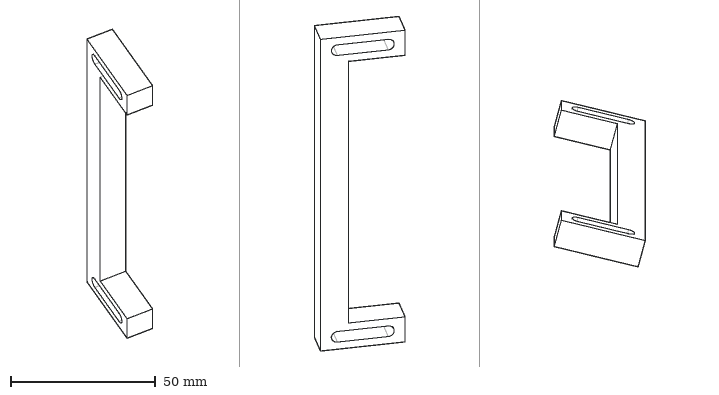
import cadquery as cq

length = 124.0
reach = 30.0
bar_size = 10.0
slot_travel = 18.0
slot_width = 4.2

slot_length = slot_travel + slot_width
half_length = length / 2
arm_inner_z = half_length - bar_size
slot_center_x = reach / 2
slot_center_z = half_length - bar_size / 2


def c_bracket():
    """Square-section upright with an arm at each end, centred in Y and Z, its back at X = 0."""
    outline = [
        (0, half_length),
        (reach, half_length),
        (reach, arm_inner_z),
        (bar_size, arm_inner_z),
        (bar_size, -arm_inner_z),
        (reach, -arm_inner_z),
        (reach, -half_length),
        (0, -half_length),
    ]
    return cq.Workplane("XZ").polyline(outline).close().extrude(bar_size / 2, both=True)


def arm_slots():
    """Round-ended slots running through both arms along Y."""
    centers = [(slot_center_x, side * slot_center_z) for side in (1, -1)]
    slots = cq.Workplane("XZ").pushPoints(centers).slot2D(slot_length, slot_width)
    return slots.extrude(bar_size / 2, both=True)


result = c_bracket().cut(arm_slots())